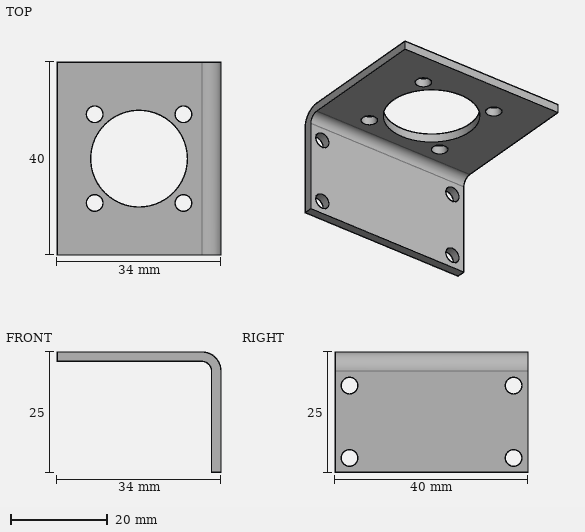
import cadquery as cq

length_x = 34.0
width_y = 40.0
height_z = 25.0
thickness = 2.0
inner_bend_radius = 2.0
outer_bend_radius = inner_bend_radius + thickness

bore_diameter = 20.0
bolt_circle_diameter = 26.0
bolt_count = 4
first_bolt_angle = 45.0

screw_hole_diameter = 3.4
wall_hole_edge_distance = 3.0
wall_hole_pitch_y = width_y - 2 * wall_hole_edge_distance
wall_hole_pitch_z = 15.0

x_min = -length_x / 2
x_max = length_x / 2
wall_hole_center_z = wall_hole_edge_distance + wall_hole_pitch_z / 2


def bent_sheet():
    """L-shaped sheet: top flange, quarter-round bend and flange hanging down at +X."""
    bend_x = x_max - outer_bend_radius
    bend_z = height_z - outer_bend_radius
    return (
        cq.Workplane("XZ")
        .moveTo(x_min, height_z)
        .lineTo(bend_x, height_z)
        .radiusArc((x_max, bend_z), outer_bend_radius)
        .lineTo(x_max, 0)
        .lineTo(x_max - thickness, 0)
        .lineTo(x_max - thickness, bend_z)
        .radiusArc((bend_x, height_z - thickness), -inner_bend_radius)
        .lineTo(x_min, height_z - thickness)
        .close()
        .extrude(width_y / 2, both=True)
    )


def top_flange_holes():
    """Central bore and its bolt circle, cut down through the top flange only."""
    top_face = cq.Workplane("XY", origin=(0, 0, height_z))
    bore = top_face.circle(bore_diameter / 2).extrude(-thickness)
    bolts = (
        top_face
        .polarArray(bolt_circle_diameter / 2, first_bolt_angle, 360, bolt_count)
        .circle(screw_hole_diameter / 2)
        .extrude(-thickness)
    )
    return bore.union(bolts)


def wall_holes():
    """Rectangular pattern of four screw holes through the vertical flange."""
    return (
        cq.Workplane("YZ", origin=(x_max, 0, wall_hole_center_z))
        .rarray(wall_hole_pitch_y, wall_hole_pitch_z, 2, 2)
        .circle(screw_hole_diameter / 2)
        .extrude(-thickness)
    )


result = bent_sheet().cut(top_flange_holes()).cut(wall_holes())